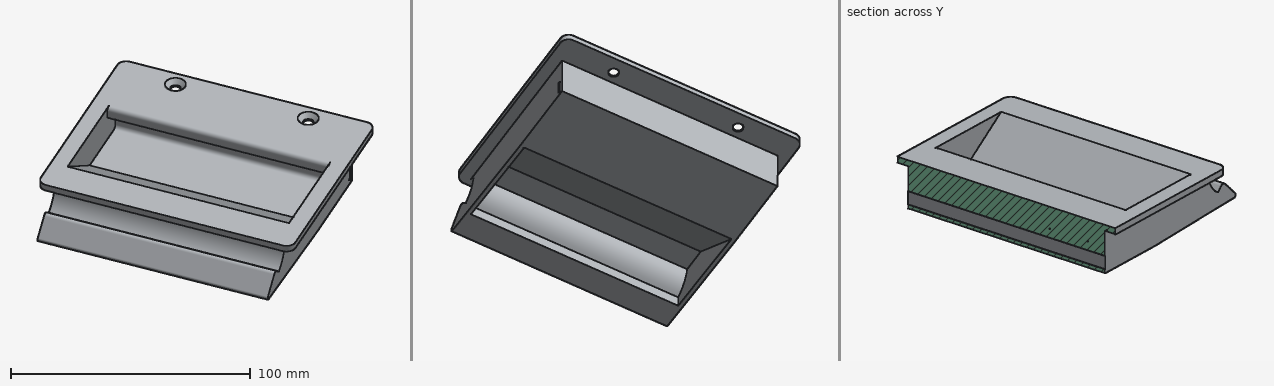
import cadquery as cq
import math


PLATE_WIDTH = 115.0
PLATE_DEPTH = 91.0
PLATE_THICKNESS = 3.0
PLATE_CORNER_RADIUS = 4.0

BODY_WIDTH = 104.0
BODY_BACK_Y = -12.0
TIP_Y = -104.0
BODY_BOTTOM_Z = -22.5
WALL_THICKNESS = 2.0
BOTTOM_BEND_Y = -49.0
TIP_BOTTOM_Z = -20.3

NECK_Y = -85.6
NECK_RADIUS = 2.0
NECK_LEAN = math.radians(15)
GROOVE_RADIUS = 13.5
GROOVE_END_LEAN = math.radians(60)
HOOK_RISE = 3.5
HOOK_TOP_RADIUS = 2.0
TIP_UPPER_RADIUS = 1.0
TIP_LOWER_RADIUS = 1.0

POCKET_WIDTH = 100.0
POCKET_BACK_Y = -31.0
POCKET_FRONT_Y = -76.0
POCKET_FLOOR_Z = -16.5
POCKET_SLOPE_FOOT_Y = -52.0
UNDERCUT_BACK_Y = -24.0
UNDERCUT_FLOOR_RADIUS = 2.0
LIP_RADIUS = 2.0
LIP_FLAT_HEIGHT = 2.0

HOLE_DIAMETER = 4.5
COUNTERSINK_DIAMETER = 8.8
COUNTERSINK_ANGLE = 90.0
HOLE_SPACING = 60.0
HOLE_Y = -7.0

SLOT_BACK_Y = -14.0
SLOT_WIDTH = 1.0
SLOT_HEIGHT = 6.0
SLOT_TOP_Z = -14.5


def on_circle(center, radius, lean):
    """Point on the back side of a circle whose radius leans down by the given angle."""
    return (center[0] + radius * math.cos(lean), center[1] - radius * math.sin(lean))


NECK_CENTER = (NECK_Y - NECK_RADIUS, -PLATE_THICKNESS - NECK_RADIUS)
GROOVE_CENTER = on_circle(NECK_CENTER, NECK_RADIUS - GROOVE_RADIUS, NECK_LEAN)


def extrude_along_x(profile, width):
    """Extrude a closed YZ profile symmetrically about X = 0."""
    return profile.close().extrude(width / 2, both=True)


def edge_at(y, z):
    """Selector for the edge along X that passes closest to (y, z)."""
    return cq.selectors.NearestToPointSelector((0, y, z))


def make_plate():
    plate = cq.Workplane("XY").box(PLATE_WIDTH, PLATE_DEPTH, PLATE_THICKNESS)
    plate = plate.edges("|Z").fillet(PLATE_CORNER_RADIUS)
    return plate.translate((0, -PLATE_DEPTH / 2, -PLATE_THICKNESS / 2))


def make_body():
    """Block under the plate, with the finger groove and the hook along its front."""
    neck_start = (NECK_CENTER[0], -PLATE_THICKNESS)
    neck_middle = on_circle(NECK_CENTER, NECK_RADIUS, 0)
    neck_end = on_circle(NECK_CENTER, NECK_RADIUS, NECK_LEAN)
    groove_middle = on_circle(GROOVE_CENTER, GROOVE_RADIUS, (NECK_LEAN + GROOVE_END_LEAN) / 2)
    groove_end = on_circle(GROOVE_CENTER, GROOVE_RADIUS, GROOVE_END_LEAN)
    hook_top = (groove_end[0] - HOOK_RISE, groove_end[1] + HOOK_RISE)
    tip_top = (TIP_Y, hook_top[1] - (hook_top[0] - TIP_Y))
    tip_bottom = (TIP_Y, TIP_BOTTOM_Z)

    profile = (
        cq.Workplane("YZ")
        .moveTo(BODY_BACK_Y, -PLATE_THICKNESS)
        .lineTo(*neck_start)
        .threePointArc(neck_middle, neck_end)
        .threePointArc(groove_middle, groove_end)
        .lineTo(*hook_top)
        .lineTo(*tip_top)
        .lineTo(*tip_bottom)
        .lineTo(BOTTOM_BEND_Y, BODY_BOTTOM_Z)
        .lineTo(BODY_BACK_Y, BODY_BOTTOM_Z)
    )
    body = extrude_along_x(profile, BODY_WIDTH)
    body = body.edges("|X").edges(edge_at(*hook_top)).fillet(HOOK_TOP_RADIUS)
    body = body.edges("|X").edges(edge_at(*tip_bottom)).fillet(TIP_LOWER_RADIUS)
    return body.edges("|X").edges(edge_at(*tip_top)).fillet(TIP_UPPER_RADIUS)


def make_pocket():
    """Pocket with a sloped front, and an undercut behind a rounded lip at the back."""
    lip_front_y = POCKET_BACK_Y - LIP_RADIUS
    lip_underside_z = -2 * LIP_RADIUS - LIP_FLAT_HEIGHT
    profile = (
        cq.Workplane("YZ")
        .moveTo(POCKET_FRONT_Y, 0)
        .lineTo(POCKET_SLOPE_FOOT_Y, POCKET_FLOOR_Z)
        .lineTo(UNDERCUT_BACK_Y, POCKET_FLOOR_Z)
        .lineTo(UNDERCUT_BACK_Y, lip_underside_z)
        .lineTo(POCKET_BACK_Y, lip_underside_z)
        .radiusArc((lip_front_y, lip_underside_z + LIP_RADIUS), LIP_RADIUS)
        .lineTo(lip_front_y, -LIP_RADIUS)
        .radiusArc((POCKET_BACK_Y, 0), LIP_RADIUS)
    )
    pocket = extrude_along_x(profile, POCKET_WIDTH)
    floor_corner = edge_at(UNDERCUT_BACK_Y, POCKET_FLOOR_Z)
    return pocket.edges("|X").edges(floor_corner).fillet(UNDERCUT_FLOOR_RADIUS)


def make_front_cavity():
    """Cavity open at the bottom, between the groove wall and the sloped pocket wall."""
    slope_run = POCKET_SLOPE_FOOT_Y - POCKET_FRONT_Y
    run_per_drop = slope_run / -POCKET_FLOOR_Z
    wall_run = WALL_THICKNESS * math.hypot(slope_run, POCKET_FLOOR_Z) / -POCKET_FLOOR_Z
    top_z = -PLATE_THICKNESS - WALL_THICKNESS
    wall_radius = GROOVE_RADIUS + WALL_THICKNESS
    wall_top_lean = math.asin((GROOVE_CENTER[1] - top_z) / wall_radius)
    wall_middle_lean = (wall_top_lean + GROOVE_END_LEAN) / 2
    wall_top = on_circle(GROOVE_CENTER, wall_radius, wall_top_lean)
    wall_middle = on_circle(GROOVE_CENTER, wall_radius, wall_middle_lean)
    wall_end = on_circle(GROOVE_CENTER, wall_radius, GROOVE_END_LEAN)

    def slope_underside_y(z):
        return POCKET_FRONT_Y - z * run_per_drop - wall_run

    profile = (
        cq.Workplane("YZ")
        .moveTo(slope_underside_y(BODY_BOTTOM_Z), BODY_BOTTOM_Z)
        .lineTo(slope_underside_y(top_z), top_z)
        .lineTo(*wall_top)
        .threePointArc(wall_middle, wall_end)
        .lineTo(wall_end[0], BODY_BOTTOM_Z)
    )
    return extrude_along_x(profile, POCKET_WIDTH)


def make_slot():
    """Narrow slot running through the full body width near the back wall."""
    slot = cq.Workplane("XY").box(BODY_WIDTH, SLOT_WIDTH, SLOT_HEIGHT)
    return slot.translate((0, SLOT_BACK_Y - SLOT_WIDTH / 2, SLOT_TOP_Z - SLOT_HEIGHT / 2))


def drill_screw_holes(part):
    return (
        part.faces(">Z")
        .workplane(origin=(0, HOLE_Y, 0))
        .pushPoints([(-HOLE_SPACING / 2, 0), (HOLE_SPACING / 2, 0)])
        .cskHole(HOLE_DIAMETER, COUNTERSINK_DIAMETER, COUNTERSINK_ANGLE)
    )


result = make_plate().union(make_body())
result = result.cut(make_pocket()).cut(make_front_cavity()).cut(make_slot())
result = drill_screw_holes(result)